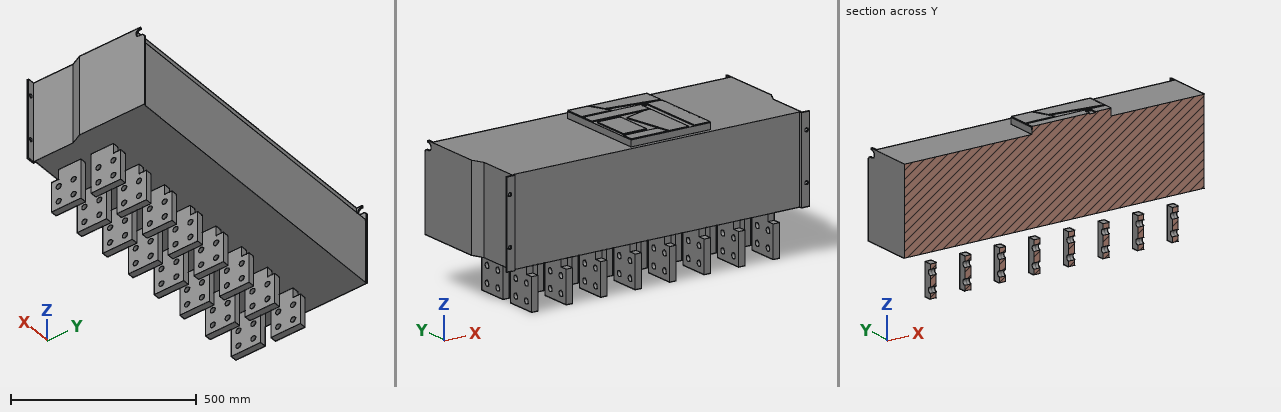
import cadquery as cq

overall_height = 427
bar_drop = 134.0
body_height = 270.0
body_top = bar_drop + body_height
cover_height = overall_height - body_top

body_depth = 394.0
body_front = 9.0
half_width = 492.0
narrow_half_width = 475.0
taper_front = 139
taper_back = 174.0
plate_thickness = 5.0

top_edge = 361.0
ramp_top = body_top - 30
fold_depth = 377
fold_step = 2.0
shelf_front = 384.0
inner_back = 392.0

notch_end = 365.0
notch_height = 23.0
lip_thickness = 5.0
lip_end = 380.0
notch_chamfer = 6.0

vent_count = 21
vent_pitch = 12.0
vent_width = 6.0
vent_corner = 2.0
vent_front = 368.0
vent_back = 383.0
vent_depth = 5.0

flange_half_span = 496.5
flange_hole_diameter = 11.0
flange_hole_edge = 10.0
flange_hole_spacing = 150.0
flange_hole_top = 52.0

bar_count = 8
bar_pitch = 113.0
bar_thickness = 21.0
bar_width = 100.0
neck_width = 75.0
neck_length = 33.0
front_bar_start = 13.0
rear_bar_start = 148.0
bar_hole_diameter = 17.0
bar_hole_spacing = 51.0
bar_hole_height = 26.0

cover_left = -74.0
cover_front = 22.0
cover_width = 260.0
cover_length = 299.0
relief_height = 3.0
reveal = 0.5
cover_center = cover_left + cover_width / 2

band_front = 186.0
band_back = 227.0
rear_panel_front = 233.0
channel_left = 190.0
channel_right = 209
channel_end = 220.0
rear_left_corner = 98.0
rear_left_top = 68.0
rear_right_corner = (91.0, 254.0)
rear_right_top = 70.5
slanted_corner = (96.0, 157.0)
slanted_foot = 126.0
front_left_foot = 122.0
front_left_corner = (113.0, 36.0)
window_left = 9.0
window_right = 84.0
window_front = 49.0
window_back = 171.0


def box(x0, x1, y0, y1, z0, z1):
    return cq.Workplane("XY").box(x1 - x0, y1 - y0, z1 - z0, centered=False).translate((x0, y0, z0))


def ramp_z(y):
    """Height of the upper ramp surface at a given depth."""
    return ramp_top - (y - top_edge)


def make_shell():
    """Full-depth prism with the narrower front and tapered shoulders."""
    right_side = [
        (narrow_half_width, body_front),
        (narrow_half_width, taper_front),
        (half_width, taper_back),
        (half_width, body_depth),
    ]
    left_side = [(-x, y) for x, y in reversed(right_side)]
    outline = cq.Workplane("XY").workplane(offset=bar_drop).polyline(right_side + left_side)
    return outline.close().extrude(body_height)


def make_rear_recess():
    """Material removed behind the top edge, between the side plates."""
    fold_z = ramp_z(fold_depth)
    shelf_z = ramp_z(shelf_front) - fold_step
    profile = [
        (top_edge, body_top),
        (top_edge, ramp_top),
        (fold_depth, fold_z),
        (fold_depth, fold_z - fold_step),
        (shelf_front, shelf_z),
        (inner_back, shelf_z),
        (inner_back, bar_drop),
        (body_depth, bar_drop),
        (body_depth, body_top),
    ]
    inner_half_width = half_width - plate_thickness
    recess = cq.Workplane("YZ").polyline(profile).close()
    return recess.extrude(inner_half_width, both=True)


def make_notch():
    """Round-ended notch through both side plates, leaving a short lip above it."""
    radius = notch_height / 2
    upper = body_top - lip_thickness
    lower = upper - notch_height
    notch = (
        cq.Workplane("YZ")
        .moveTo(lip_end, body_top)
        .lineTo(lip_end, upper)
        .lineTo(notch_end + radius, upper)
        .threePointArc((notch_end, upper - radius), (notch_end + radius, lower))
        .lineTo(body_depth - notch_chamfer, lower)
        .lineTo(body_depth, lower - notch_chamfer)
        .lineTo(body_depth, body_top)
        .close()
    )
    return notch.extrude(half_width, both=True)


def make_vents():
    """Slots with rounded front corners, sunk into the ramp, following its slope."""
    side_profile = [
        (vent_front, ramp_z(vent_front) - vent_depth),
        (vent_front, ramp_top),
        (vent_back, ramp_top),
        (vent_back, ramp_z(vent_back) - vent_depth),
    ]
    vent = cq.Workplane("YZ").polyline(side_profile).close().extrude(vent_width / 2, both=True)
    vent = vent.edges("|Z and <Y").fillet(vent_corner)
    vents = cq.Workplane("XY")
    for index in range(vent_count):
        x = cover_center + (index - (vent_count - 1) / 2) * vent_pitch
        vents = vents.add(vent.translate((x, 0, 0)))
    return vents.combine()


def make_flange(side):
    """Z-shaped mounting flange on one side: side = 1 is +X, -1 is -X."""
    web_inner = narrow_half_width - plate_thickness
    web = box(web_inner, narrow_half_width, 0, body_front, bar_drop, body_top)
    plate = box(web_inner, flange_half_span, 0, plate_thickness, bar_drop, body_top)
    upper_hole = body_top - flange_hole_top
    holes = (
        cq.Workplane("XZ")
        .pushPoints([
            (flange_half_span - flange_hole_edge, upper_hole),
            (flange_half_span - flange_hole_edge, upper_hole - flange_hole_spacing),
        ])
        .circle(flange_hole_diameter / 2)
        .extrude(-plate_thickness)
    )
    flange = web.union(plate).cut(holes)
    return flange if side > 0 else flange.mirror("YZ")


def make_bar(start, neck_start):
    """One busbar centred on X = 0 with four holes and a neck entering the body."""
    middle = start + bar_width / 2
    blade = box(-bar_thickness / 2, bar_thickness / 2, start, start + bar_width, 0, bar_drop - neck_length)
    neck = box(-bar_thickness / 2, bar_thickness / 2, neck_start, neck_start + neck_width, 0, bar_drop)
    holes = (
        cq.Workplane("YZ")
        .center(middle, bar_hole_height + bar_hole_spacing / 2)
        .rarray(bar_hole_spacing, bar_hole_spacing, 2, 2)
        .circle(bar_hole_diameter / 2)
        .extrude(bar_thickness / 2, both=True)
    )
    return blade.union(neck).cut(holes)


def make_cover():
    """Rectangular cover with raised panels separated by shallow channels."""
    left, right = reveal, cover_width - reveal
    front, back = reveal, cover_length - reveal
    panels = [
        [(left, rear_panel_front), (rear_left_corner, rear_panel_front), (rear_left_top, back), (left, back)],
        [rear_right_corner, (right, rear_panel_front), (right, back), (rear_right_top, back)],
        [
            (left, band_front), (channel_left, band_front), (channel_left, channel_end),
            (channel_right, channel_end), (channel_right, front), (right, front),
            (right, band_back), (left, band_back),
        ],
        [slanted_corner, (slanted_foot, front), (channel_left, front), (channel_left, band_front)],
        [(left, front), (front_left_foot, front), front_left_corner, (left, front_left_corner[1])],
        [
            (window_left, window_front), (window_right, window_front),
            (window_right, window_back), (window_left, window_back),
        ],
    ]
    base_height = cover_height - relief_height
    cover = cq.Workplane("XY").box(cover_width, cover_length, base_height, centered=False)
    for points in panels:
        panel = cq.Workplane("XY").workplane(offset=base_height).polyline(points).close()
        cover = cover.union(panel.extrude(relief_height))
    return cover.translate((cover_left, cover_front, body_top))


result = make_shell().cut(make_rear_recess()).cut(make_notch()).cut(make_vents())
result = result.union(make_flange(1)).union(make_flange(-1))

front_bar = make_bar(front_bar_start, front_bar_start + bar_width - neck_width)
rear_bar = make_bar(rear_bar_start, rear_bar_start)
for index in range(bar_count):
    bar_x = (index - (bar_count - 1) / 2) * bar_pitch
    result = result.union(front_bar.translate((bar_x, 0, 0)))
    result = result.union(rear_bar.translate((bar_x, 0, 0)))

result = result.union(make_cover())